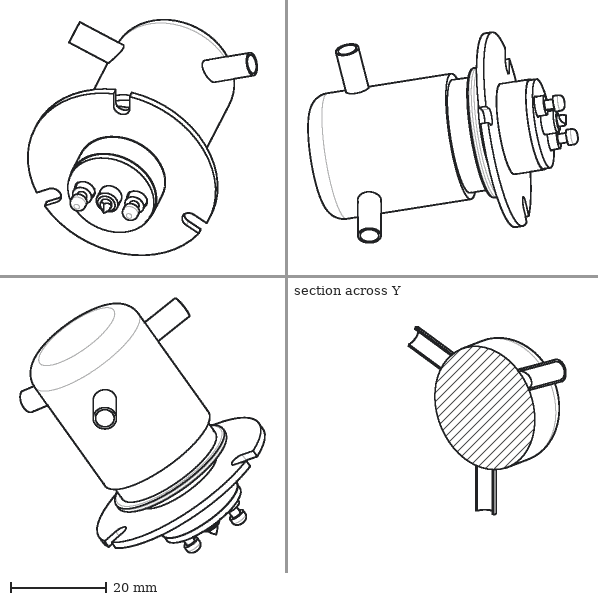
import cadquery as cq
import math


HOUSING_RADIUS = 13.4
HOUSING_START = 10.0
HOUSING_END = 40.75
HOUSING_ROUNDING = 3.8

TUBE_RADIUS = 2.45
TUBE_BORE_RADIUS = 1.95
TUBE_Y = 29.9
DRAIN_ANGLE = 270
DRAIN_REACH = 23.1
INLET_TILT = 22.5
INLET_REACH = 22.6
INLET_OFFSET = 3.6
TUBE_PLACEMENTS = (
    (INLET_TILT, INLET_REACH, INLET_OFFSET),
    (180 - INLET_TILT, INLET_REACH, -INLET_OFFSET),
    (DRAIN_ANGLE, DRAIN_REACH, 0),
)

NECK_RADIUS = 12.05

RIM_RADIUS = 13.85
RIM_START = 4.0
RIM_END = 5.45
RIM_ROUNDING = 0.5
LIP_THICKNESS = 0.3
PARTING_Y = RIM_END - LIP_THICKNESS

SHAFT_RADIUS = 9.5
SHAFT_FACE = -7.8
SHOULDER_RADIUS = 9.65
SHOULDER_FACE = -6.4

PLATE_DIAMETER = 41.35
PLATE_RADIUS = PLATE_DIAMETER / 2
PLATE_THICKNESS = 1.6
SLOT_RADIUS = 1.75
SLOT_CENTER_RADIUS = 17.4
SLOT_ANGLES = (90, 210, 330)

TERMINAL_SPACING = 11.5
TERMINAL_OFFSET = TERMINAL_SPACING / 2
TERMINAL_POSITIONS = (-TERMINAL_OFFSET, TERMINAL_OFFSET)
COLLAR_RADIUS = 2.05
COLLAR_FACE = -9.7
STEM_RADIUS = 1.05
STEM_END = -11.65
HEAD_RADIUS = 1.7
HEAD_ROUNDING = 1.1
TERMINAL_TIP = -13.7
RECESS_RADIUS = 2.25
RECESS_DEPTH = 0.55
RECESS_FLOOR = SHAFT_FACE + RECESS_DEPTH

POST_RADIUS = 2.4
POST_CHAMFER = 0.5
POST_FACE = -11.0
CHISEL_RADIUS = 1.2
CHISEL_EDGE = -12.75


def cylinder(radius, start, end, x=0):
    """Solid cylinder parallel to Y, from Y = start to Y = end."""
    base = cq.Workplane(cq.Plane((x, start, 0), xDir=(0, 0, 1), normal=(0, 1, 0)))
    return base.circle(radius).extrude(end - start)


def make_housing():
    body = cylinder(HOUSING_RADIUS, HOUSING_START, HOUSING_END)
    return body.faces(">Y").edges().fillet(HOUSING_ROUNDING)


def make_tube(angle, reach, offset):
    """Tube pointing outward at an angle from +X, ending against the housing wall.

    A positive offset moves the axis sideways, to the left of its outward direction.
    """
    turn = math.radians(angle)
    outward = (math.cos(turn), 0, math.sin(turn))
    origin = (-offset * math.sin(turn), TUBE_Y, offset * math.cos(turn))
    plane = cq.Plane(origin, xDir=(0, 1, 0), normal=outward)
    tube = cq.Workplane(plane).circle(TUBE_RADIUS).circle(TUBE_BORE_RADIUS).extrude(reach)
    return tube.cut(cylinder(HOUSING_RADIUS, HOUSING_START, HOUSING_END))


def rim_section(start, end):
    """Part of the rounded rim between two Y positions."""
    rim = cylinder(RIM_RADIUS, RIM_START, RIM_END).edges().fillet(RIM_ROUNDING)
    return rim.intersect(cylinder(RIM_RADIUS, start, end))


def make_can():
    neck = cylinder(NECK_RADIUS, RIM_END, HOUSING_START)
    return neck.union(rim_section(PARTING_Y, RIM_END))


def make_header():
    flange = rim_section(RIM_START, PARTING_Y)
    shaft = cylinder(SHAFT_RADIUS, SHAFT_FACE, RIM_START)
    shoulder = cylinder(SHOULDER_RADIUS, SHOULDER_FACE, 0)
    header = flange.union(shaft).union(shoulder)
    for x in TERMINAL_POSITIONS:
        header = header.cut(cylinder(RECESS_RADIUS, SHAFT_FACE, RECESS_FLOOR, x))
    return header


def make_plate():
    plate = cylinder(PLATE_RADIUS, 0, PLATE_THICKNESS)
    slot_end = cylinder(SLOT_RADIUS, 0, PLATE_THICKNESS, SLOT_CENTER_RADIUS)
    slot_mouth = (
        cq.Workplane(origin=(SLOT_CENTER_RADIUS, 0, 0))
        .box(PLATE_RADIUS, PLATE_THICKNESS, 2 * SLOT_RADIUS, centered=(False, False, True))
    )
    slot = slot_end.union(slot_mouth)
    for angle in SLOT_ANGLES:
        plate = plate.cut(slot.rotate((0, 0, 0), (0, 1, 0), -angle))
    return plate.cut(cylinder(SHAFT_RADIUS, 0, PLATE_THICKNESS))


def make_terminal(x):
    collar = cylinder(COLLAR_RADIUS, COLLAR_FACE, RECESS_FLOOR, x)
    stem = cylinder(STEM_RADIUS, STEM_END, COLLAR_FACE, x)
    head = cylinder(HEAD_RADIUS, TERMINAL_TIP, STEM_END, x).faces("<Y").edges().fillet(HEAD_ROUNDING)
    return collar.union(stem).union(head)


def make_post():
    post = cylinder(POST_RADIUS, POST_FACE, SHAFT_FACE).faces("<Y").edges().chamfer(POST_CHAMFER)
    chisel_height = POST_FACE - CHISEL_EDGE
    wedge = (
        cq.Workplane("XY", origin=(0, 0, -CHISEL_RADIUS))
        .polyline([(0, CHISEL_EDGE), (chisel_height, POST_FACE), (-chisel_height, POST_FACE)])
        .close()
        .extrude(2 * CHISEL_RADIUS)
    )
    chisel = cylinder(CHISEL_RADIUS, CHISEL_EDGE, POST_FACE).intersect(wedge)
    return post.union(chisel)


housing = make_housing()
tubes = [make_tube(*placement) for placement in TUBE_PLACEMENTS]
can = make_can()
header = make_header()
plate = make_plate()
terminals = [make_terminal(x) for x in TERMINAL_POSITIONS]
post = make_post()

result = cq.Compound.makeCompound([
    housing.val(),
    *[tube.val() for tube in tubes],
    can.val(),
    header.val(),
    plate.val(),
    *[terminal.val() for terminal in terminals],
    post.val(),
])